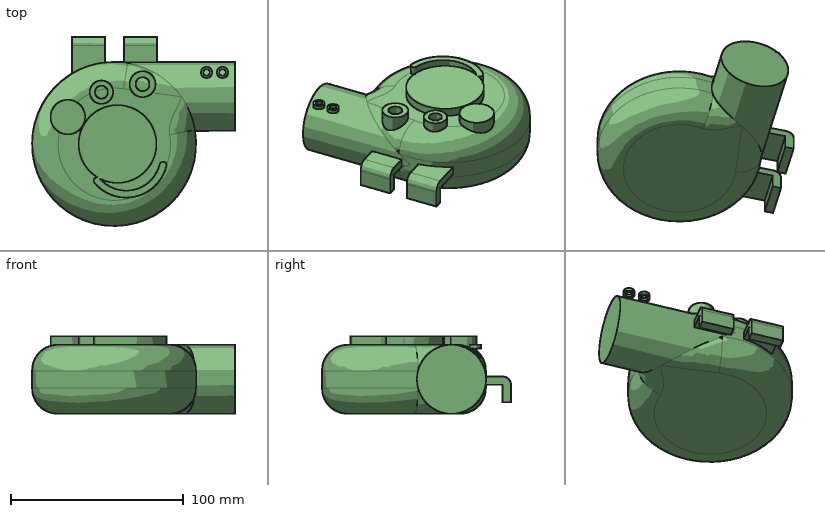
import cadquery as cq
import math

drum_radius = 47.5
drum_height = 40.0
rounding_radius = 15.0
flat_radius = drum_radius - rounding_radius
mid_height = drum_height / 2

pipe_radius = drum_height / 2
pipe_axis_y = drum_radius - pipe_radius
pipe_end_x = 70.0

blend_depth = 12.0
wall_curve_segments = 8
rounding_start_z = drum_height - rounding_radius
blend_half_width = math.sqrt(pipe_radius**2 - (rounding_start_z - mid_height) ** 2)
flank_middle = (34.4, 17.7)
flank_start_direction = (-0.2, -1.0)

top_height = 5.0
top_z = drum_height + top_height
detail_root_z = 30.0
cover_center = (2.0, 0.0)
cover_radius = 22.5
button_center = (-26.75, 15.6)
button_radius = 10.0
small_socket_center = (-7.3, 30.0)
small_socket_radius = 6.75
small_socket_bore_radius = 3.75
large_socket_center = (16.5, 34.6)
large_socket_radius = 7.5
large_socket_bore_radius = 4.0
rib_center = (7.0, -7.0)
rib_radius = 22.0
rib_width = 4.0
rib_start_angle = 220.5
rib_end_angle = 346.0

hook_width = 19.2
hook_starts_x = (-24.4, 5.7)
hook_thickness = 5.0
hook_top_z = 21.7
hook_drop = 15.0
hook_end_y = 62.0
hook_root_y = 35.0

ring_outer_radius = 3.25
ring_bore_radius = 1.9
ring_height = 2.25
ring_base_z = drum_height - ring_height
ring_y = 41.4
ring_positions_x = (53.5, 62.7)


def disc(center, radius, base_z, height):
    return cq.Workplane("XY", origin=(*center, base_z)).circle(radius).extrude(height)


def make_drum():
    return disc((0, 0), drum_radius, 0, drum_height).edges("%CIRCLE").fillet(rounding_radius)


def make_pipe():
    section = cq.Workplane("YZ").center(pipe_axis_y, mid_height)
    return section.circle(pipe_radius).extrude(pipe_end_x)


def drum_wall_point(y, z):
    return cq.Vector(math.sqrt(drum_radius**2 - y**2), y, z)


def make_blend(side):
    """Fill between the flat top and the pipe; side is +1 away from the drum axis, -1 towards it."""
    offsets = [side * blend_half_width * i / wall_curve_segments for i in range(wall_curve_segments + 1)]
    wall_points = [
        drum_wall_point(pipe_axis_y + dy, mid_height + math.sqrt(pipe_radius**2 - dy**2)) for dy in offsets
    ]
    crown = wall_points[0]
    wall_end = wall_points[-1]
    wall_curve = cq.Edge.makeSpline(wall_points)

    outward = cq.Vector(wall_end.x, wall_end.y, 0).normalized()
    up = cq.Vector(0, 0, 1)
    arc_center = outward * flat_radius + up * rounding_start_z
    arc_top = arc_center + up * rounding_radius
    arc_middle = arc_center + (outward + up).normalized() * rounding_radius
    end_arc = cq.Edge.makeThreePointArc(wall_end, arc_middle, arc_top)

    if side > 0:
        top_edge = cq.Edge.makeLine(arc_top, crown)
    else:
        middle = cq.Vector(*flank_middle, drum_height)
        start_direction = cq.Vector(*flank_start_direction, 0)
        end_direction = outward.cross(up)
        top_edge = cq.Edge.makeSpline([crown, middle, arc_top], tangents=[start_direction, end_direction])

    down = up * -blend_depth
    patch = cq.Face.makeNSidedSurface([wall_curve, end_arc, top_edge], [])
    patch_fill = cq.Solid.extrudeLinear(patch, down)

    axis_top = up * drum_height
    outline = [cq.Edge.makeLine(axis_top, crown), top_edge, cq.Edge.makeLine(arc_top, axis_top)]
    flat_fill = cq.Solid.extrudeLinear(cq.Wire.assembleEdges(outline), [], down)
    return [patch_fill, flat_fill]


def make_casing_shape():
    casing = make_drum().union(make_pipe())
    for side in (1, -1):
        for fill in make_blend(side):
            mirrored_fill = fill.mirror("XY", (0, 0, mid_height))
            casing = casing.union(cq.Workplane(fill)).union(cq.Workplane(mirrored_fill))
    return casing


def make_top_disc(center, radius):
    return disc(center, radius, detail_root_z, top_z - detail_root_z)


def make_socket(center, radius, bore_radius):
    """Collar whose open bore ends on the casing surface."""
    return make_top_disc(center, radius).cut(make_top_disc(center, bore_radius))


def polar_point(radius, angle):
    return (radius * math.cos(math.radians(angle)), radius * math.sin(math.radians(angle)))


def make_rib():
    """Curved grip rib of constant width with round ends."""
    inner = rib_radius - rib_width / 2
    outer = rib_radius + rib_width / 2
    middle_angle = (rib_start_angle + rib_end_angle) / 2
    end_turn = math.degrees(rib_width / 2 / rib_radius)
    return (
        cq.Workplane("XY", origin=(*rib_center, detail_root_z))
        .moveTo(*polar_point(inner, rib_start_angle))
        .threePointArc(polar_point(inner, middle_angle), polar_point(inner, rib_end_angle))
        .threePointArc(polar_point(rib_radius, rib_end_angle + end_turn), polar_point(outer, rib_end_angle))
        .threePointArc(polar_point(outer, middle_angle), polar_point(outer, rib_start_angle))
        .threePointArc(polar_point(rib_radius, rib_start_angle - end_turn), polar_point(inner, rib_start_angle))
        .close()
        .extrude(top_z - detail_root_z)
    )


def make_hook(start_x):
    """Plate leaving the casing along +Y and turning down, with a rounded outer bend."""
    inner_y = hook_end_y - hook_thickness
    inner_z = hook_top_z - hook_thickness
    bend_offset = hook_thickness * math.sqrt(0.5)
    bottom_z = hook_top_z - hook_drop
    return (
        cq.Workplane("YZ", origin=(start_x, 0, 0))
        .moveTo(hook_root_y, hook_top_z)
        .lineTo(inner_y, hook_top_z)
        .threePointArc((inner_y + bend_offset, inner_z + bend_offset), (hook_end_y, inner_z))
        .lineTo(hook_end_y, bottom_z)
        .lineTo(inner_y, bottom_z)
        .lineTo(inner_y, inner_z)
        .lineTo(hook_root_y, inner_z)
        .close()
        .extrude(hook_width)
    )


def make_casing():
    details = [
        make_top_disc(cover_center, cover_radius),
        make_top_disc(button_center, button_radius),
        make_socket(small_socket_center, small_socket_radius, small_socket_bore_radius),
        make_socket(large_socket_center, large_socket_radius, large_socket_bore_radius),
        make_rib(),
    ]
    details += [make_hook(start_x) for start_x in hook_starts_x]
    casing = make_casing_shape()
    for detail in details:
        casing = casing.union(detail)
    return casing


def make_ring(x):
    ring = disc((x, ring_y), ring_outer_radius, ring_base_z, ring_height)
    return ring.cut(disc((x, ring_y), ring_bore_radius, ring_base_z, ring_height))


casing = make_casing()
rings = [make_ring(x) for x in ring_positions_x]

result = cq.Compound.makeCompound([*casing.vals(), *[ring.val() for ring in rings]])